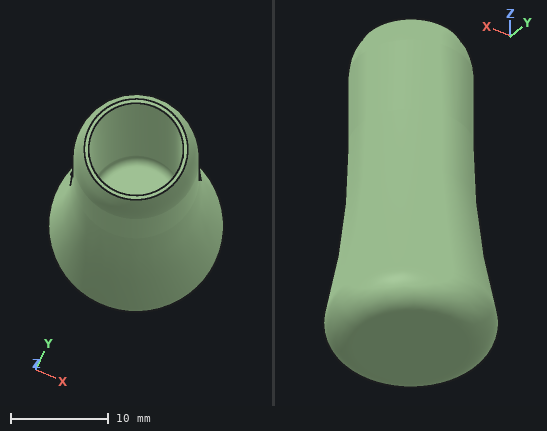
import cadquery as cq
import math

total_height = 38.0
base_radius = 9.0
base_round = 3.0
neck_radius = 6.5
flare_radius = 100.0
crown_height = 3.6
crown_round = 6.0

bore_radius = 4.85
bore_depth = 25.0
bore_floor_fillet = 1.0


def point_on_circle(centre, radius, angle):
    """Point (r, z) on a profile circle, at an angle in radians from the +r direction."""
    return (centre[0] + radius * math.cos(angle), centre[1] + radius * math.sin(angle))


def make_body():
    """Solid outer shape: rounded base, flare, straight neck and crown, revolved about Z."""
    base_centre = (base_radius - base_round, base_round)

    flare_centre_r = neck_radius + flare_radius
    centre_offset_r = flare_centre_r - base_centre[0]
    flare_angle = math.acos(centre_offset_r / (flare_radius + base_round))
    flare_top_z = base_centre[1] + centre_offset_r * math.tan(flare_angle)
    flare_centre = (flare_centre_r, flare_top_z)

    base_start = (base_centre[0], 0)
    base_middle = point_on_circle(base_centre, base_round, (flare_angle - math.pi / 2) / 2)
    base_end = point_on_circle(base_centre, base_round, flare_angle)
    flare_middle = point_on_circle(flare_centre, flare_radius, math.pi + flare_angle / 2)
    flare_end = (neck_radius, flare_top_z)

    crown_z = total_height - crown_height
    crown_centre = (neck_radius - crown_round, crown_z)
    crown_angle = math.asin(crown_height / crown_round)
    crown_middle = point_on_circle(crown_centre, crown_round, crown_angle / 2)
    crown_end = point_on_circle(crown_centre, crown_round, crown_angle)

    profile = (
        cq.Workplane("XZ")
        .lineTo(*base_start)
        .threePointArc(base_middle, base_end)
        .threePointArc(flare_middle, flare_end)
        .lineTo(neck_radius, crown_z)
        .threePointArc(crown_middle, crown_end)
        .lineTo(0, total_height)
        .close()
    )
    return profile.revolve(360, (0, 0), (0, 1))


def make_bore():
    """Blind bore from the top, with a filleted floor."""
    return (
        cq.Workplane("XY", origin=(0, 0, total_height - bore_depth))
        .circle(bore_radius)
        .extrude(bore_depth)
        .faces("<Z")
        .edges()
        .fillet(bore_floor_fillet)
    )


result = make_body().cut(make_bore())